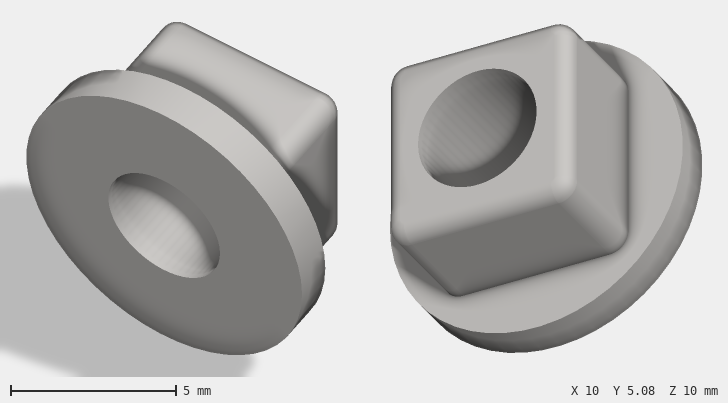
import cadquery as cq

flange_diameter = 10.03
flange_thickness = 1.27
total_length = 5.08
bore_diameter = 4.06
boss_width = 6.3
boss_corner_radius = 0.635
boss_end_fillet = 0.508


def base_plane():
    """Workplane at Y = 0; its normal is -Y, so negative lengths extrude toward +Y."""
    return cq.Workplane("XZ")


def make_flange():
    """Round flange at the -Y end."""
    return base_plane().circle(flange_diameter / 2).extrude(-flange_thickness)


def make_boss():
    """Square boss with rounded corners and a rounded far end."""
    boss = base_plane().rect(boss_width, boss_width).extrude(-total_length)
    boss = boss.edges("|Y").fillet(boss_corner_radius)
    return boss.faces(">Y").edges().fillet(boss_end_fillet)


def make_bore():
    """Cylinder that clears the bore through the whole part."""
    return base_plane().circle(bore_diameter / 2).extrude(-total_length)


result = make_flange().union(make_boss()).cut(make_bore())